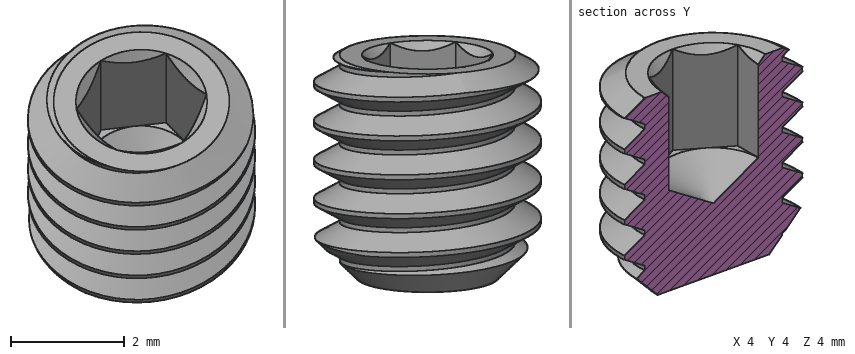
import cadquery as cq
import math

length = 4.0
major_radius = 2.0
pitch = 0.7
crest_phase = 0.28
point_radius = 1.25
point_angle = 45.0
top_angle = 30.0

flank_angle = 30.0
thread_depth = 3 / 4 * pitch * math.cos(math.radians(flank_angle))
root_radius = major_radius - thread_depth
crest_half_width = pitch / 16
stock_margin = 0.2
overrun_turns = 2
embed = 0.03

across_flats = 2.0
socket_depth = 2.0
drill_angle = 30.0
countersink_angle = 45.0


def rise(run, angle):
    """Height gained over a horizontal run at the given slope."""
    return run * math.tan(math.radians(angle))


def make_envelope():
    """Stock wider than the thread, so that only its end chamfers and faces trim the thread."""
    outer_radius = major_radius + stock_margin
    outline = [
        (0, 0),
        (point_radius, 0),
        (outer_radius, rise(outer_radius - point_radius, point_angle)),
        (outer_radius, length - rise(outer_radius - root_radius, top_angle)),
        (root_radius, length),
        (0, length),
    ]
    return cq.Workplane("XZ").polyline(outline).close().revolve(360, (0, 0), (0, 1))


def make_thread():
    """Right-handed ridge on its core, running past both ends of the screw."""
    start = crest_phase - overrun_turns * pitch
    turns = math.ceil(length / pitch) + 2 * overrun_turns
    inner_radius = root_radius - embed
    base_half_width = crest_half_width + rise(major_radius - inner_radius, flank_angle)
    profile = [
        (inner_radius, start - base_half_width),
        (major_radius, start - crest_half_width),
        (major_radius, start + crest_half_width),
        (inner_radius, start + base_half_width),
    ]
    helix = cq.Wire.makeHelix(pitch, turns * pitch, root_radius, cq.Vector(0, 0, start))
    ridge = cq.Workplane("XZ").polyline(profile).close().sweep(cq.Workplane(helix), isFrenet=True)
    core = (
        cq.Workplane("XY", origin=(0, 0, -pitch))
        .circle(root_radius)
        .extrude(length + 2 * pitch)
    )
    return core.union(ridge)


def make_cone(radius, angle, top):
    """Cone pointing down, with its wide end at the given height."""
    height = rise(radius, angle)
    return cq.Workplane(cq.Solid.makeCone(0, radius, height, cq.Vector(0, 0, top - height)))


def make_socket():
    """Hexagon with corners on Y, a countersunk mouth and a conical bottom."""
    flat_radius = across_flats / 2
    corner_radius = flat_radius / math.cos(math.pi / 6)
    floor = length - socket_depth
    hexagon = (
        cq.Workplane("XY", origin=(0, 0, floor))
        .polygon(6, 2 * corner_radius)
        .extrude(socket_depth)
        .rotate((0, 0, 0), (0, 0, 1), 90)
    )
    drill_tip = make_cone(flat_radius, drill_angle, floor)
    countersink = make_cone(corner_radius, countersink_angle, length)
    return hexagon.union(drill_tip).union(countersink)


result = make_envelope().intersect(make_thread()).cut(make_socket())